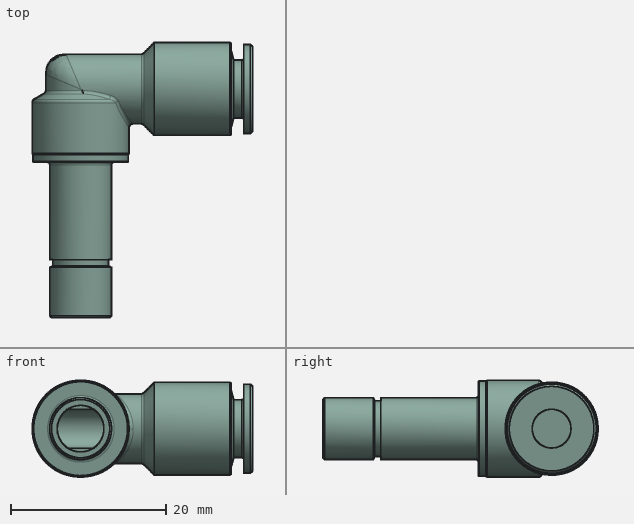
import cadquery as cq
import math


elbow_radius = 4.5
tube_length = 7.5
corner_tangent_offset = 1.9
root_fillet = 0.5
junction_fillet = 0.5
junction_start = 0.2

socket_radius = 6.0
socket_cone_start = 8.0
socket_cone_end = socket_cone_start + socket_radius - elbow_radius
socket_end = 19.45
socket_chamfer_length = 0.25
socket_chamfer_depth = 0.15
socket_lip_radius = 4.85
socket_lip_length = 0.3
collar_neck_radius = 3.75
collar_flange_radius = 5.75
collar_flange_start = 21.0
collar_end = 22.2
collar_chamfer = 0.3
collar_root_length = 0.2
collar_root_rise = 0.08

body_radius = 6.25
body_cone_start = 0.44
stem_arm_start = 0.1
body_cone_slope = math.radians(60)
body_cone_end = body_cone_start + (body_radius - elbow_radius) / math.tan(body_cone_slope)
body_end = 8.28
ring_radius = 6.17
ring_start = 8.48
ring_end = 9.45
ring_edge_chamfer = 0.12
stem_radius = 4.0
stem_root_fillet = 0.3
groove_radius = 3.6
groove_start = 22.0
groove_floor_end = 22.8
groove_end = 23.0
stem_end = 29.5
stem_chamfer = 0.25

stem_bore_radius = 3.0
socket_bore_radius = 2.5


def revolved_arm(outline):
    """Revolve (station, radius) points about +X, from the elbow centre outward."""
    return cq.Workplane("XY").polyline(outline).close().revolve(360, (0, 0, 0), (1, 0, 0))


def turned_to_stem(arm):
    """Swing a shape built along +X round to lie along -Y."""
    return arm.rotate((0, 0, 0), (0, 0, 1), -90)


def fillet_ring(arm, station, radius, fillet):
    """Round the full circular edge at one station of an arm lying along +X."""
    margin = 0.01
    box = cq.selectors.BoxSelector(
        (station - margin, -radius - margin, -radius - margin),
        (station + margin, radius + margin, radius + margin),
        boundingbox=True,
    )
    return arm.edges(box).fillet(fillet)


def mitred_tube(side):
    """Solid tube along +X, mitred on the inside and cut back where the rounded corner starts.

    side is +1 when the outside of the elbow lies toward +Y, -1 when it lies toward -Y.
    """
    reach = 2 * elbow_radius
    lean = reach * corner_tangent_offset / elbow_radius
    outline = [
        (0, 0),
        (-lean, side * reach),
        (tube_length, side * reach),
        (tube_length, -side * reach),
        (reach, -side * reach),
    ]
    keep = cq.Workplane("XY").polyline(outline).close().extrude(reach, both=True)
    tube = cq.Workplane("YZ", origin=(-reach, 0, 0)).circle(elbow_radius).extrude(reach + tube_length)
    return tube.intersect(keep)


def socket_arm():
    outline = [
        (tube_length, 0),
        (tube_length, elbow_radius),
        (socket_cone_start, elbow_radius),
        (socket_cone_end, socket_radius),
        (socket_end - socket_chamfer_length, socket_radius),
        (socket_end, socket_radius - socket_chamfer_depth),
        (socket_end, socket_lip_radius),
        (socket_end + socket_lip_length, collar_neck_radius),
        (collar_flange_start - collar_root_length, collar_neck_radius),
        (collar_flange_start, collar_neck_radius + collar_root_rise),
        (collar_flange_start, collar_flange_radius),
        (collar_end - collar_chamfer, collar_flange_radius),
        (collar_end, collar_flange_radius - collar_chamfer),
        (collar_end, 0),
    ]
    return fillet_ring(revolved_arm(outline), socket_cone_start, elbow_radius, root_fillet)


def stem_arm():
    outline = [
        (stem_arm_start, 0),
        (stem_arm_start, elbow_radius),
        (body_cone_start, elbow_radius),
        (body_cone_end, body_radius),
        (body_end, body_radius),
        (ring_start, ring_radius),
        (ring_end - ring_edge_chamfer, ring_radius),
        (ring_end, ring_radius - ring_edge_chamfer),
        (ring_end, stem_radius),
        (groove_start, stem_radius),
        (groove_start, groove_radius),
        (groove_floor_end, groove_radius),
        (groove_end, stem_radius),
        (stem_end - stem_chamfer, stem_radius),
        (stem_end, stem_radius - stem_chamfer),
        (stem_end, 0),
    ]
    arm = revolved_arm(outline)
    arm = fillet_ring(arm, body_cone_start, elbow_radius, root_fillet)
    arm = fillet_ring(arm, body_cone_end, body_radius, root_fillet)
    arm = fillet_ring(arm, ring_end, stem_radius, stem_root_fillet)
    return turned_to_stem(arm)


def rounded_corner():
    """Wedge of an ellipsoid that is tangent to both elbow cylinders."""
    along = math.sqrt(elbow_radius * (elbow_radius + corner_tangent_offset))
    across = math.sqrt(elbow_radius * (elbow_radius - corner_tangent_offset))
    tangent_across = (elbow_radius - corner_tangent_offset) / math.sqrt(2)
    half_angle = math.degrees(math.asin(tangent_across / across))
    outer_diagonal_angle = 135
    centre = cq.Vector(0, 0, 0)
    z_axis = cq.Vector(0, 0, 1)
    wedge = cq.Solid.makeSphere(elbow_radius, angleDegrees1=-90, angleDegrees2=90, angleDegrees3=2 * half_angle)
    wedge = wedge.rotate(centre, z_axis, -half_angle)
    stretch = cq.Matrix([
        [along / elbow_radius, 0, 0, 0],
        [0, across / elbow_radius, 0, 0],
        [0, 0, 1, 0],
    ])
    wedge = wedge.transformGeometry(stretch)
    return wedge.rotate(centre, z_axis, outer_diagonal_angle)


def elbow():
    """Two mitred tubes of equal size and the rounded corner that bridges them."""
    socket_tube = mitred_tube(1)
    stem_tube = turned_to_stem(mitred_tube(-1))
    return socket_tube.union(cq.Workplane(obj=rounded_corner())).union(stem_tube)


def filleted_stem_arm():
    """Stem arm with the base of the socket tube joined to its body by a fillet."""
    tube_base = (
        cq.Workplane("YZ", origin=(junction_start, 0, 0))
        .circle(elbow_radius)
        .extrude(tube_length - junction_start)
    )
    body_side = cq.selectors.BoxSelector(
        (elbow_radius, -elbow_radius, -elbow_radius),
        (body_radius, -body_cone_end, elbow_radius),
    )
    return stem_arm().union(tube_base).edges(body_side).fillet(junction_fillet)


def bores():
    """Stem bore up to the socket axis, and the socket bore crossing its end."""
    stem_bore = cq.Workplane("XZ").circle(stem_bore_radius).extrude(stem_end)
    socket_bore = (
        cq.Workplane("YZ", origin=(-stem_bore_radius, 0, 0))
        .circle(socket_bore_radius)
        .extrude(stem_bore_radius + collar_end)
    )
    return stem_bore.union(socket_bore)


outer = filleted_stem_arm().union(elbow()).union(socket_arm())
result = outer.cut(bores())